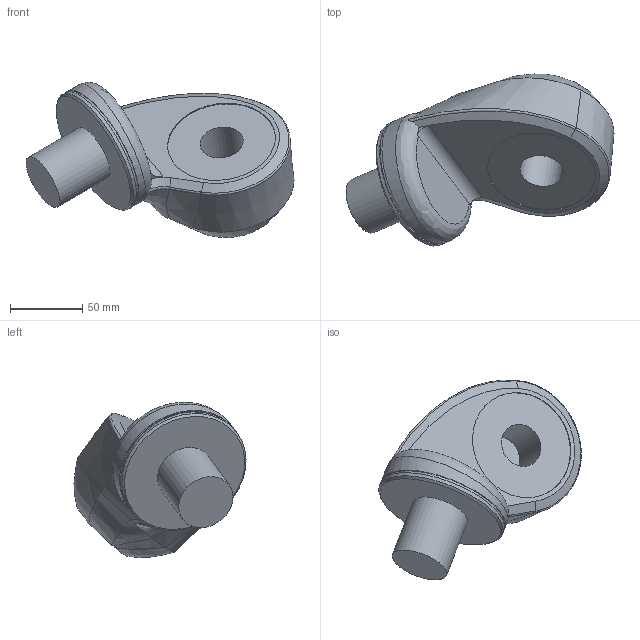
import cadquery as cq
import math

STUD_RISE = math.radians(30.0)
STUD_SWING = math.radians(22.8)
STUD_AXIS = cq.Vector(1, math.tan(STUD_SWING), math.tan(STUD_RISE))
BORE_AXIS = cq.Vector(-0.11, -0.704, 0.702)
EYE_ORIGIN = cq.Vector(42.6, -7.5, 12.1)

STUD_V = 40.9
STUD_W = 11.4
STUD_DIA = 40.0
STUD_LENGTH = 43.0
STUD_END_U = -121.9
FLANGE_FRONT_U = STUD_END_U + STUD_LENGTH
FLANGE_THICKNESS = 24.7
FLANGE_RADIUS = 45.8
FLANGE_ROUND = 10.0
FRONT_CHAMFER = 1.5
GROOVE_START = 4.0
GROOVE_WIDTH = 2.0
GROOVE_DEPTH = 0.8
BACK_TILT_ABOUT_W = 5.5
BACK_TILT_ABOUT_V = 2.5
BACK_FILLET = 7.5

BORE_DIA = 30.0
BORE_DEPTH = 35.0
RECESS_DIA = 75.0
RECESS_DEPTH = 0.7
RIM_W = -3.0
RIM_ROUND = 1.5
EDGE_W = -42.0
WAIST_W = (RIM_W + EDGE_W) / 2
BELLY_W = -56.8
DOME_DEPTH = 67.2
BURIED_U = -62.0
SHOULDER_ANGLE = 25


def on_circle(radius, angle):
    """Point at an angle in degrees on a circle about the bore axis."""
    return radius * math.cos(math.radians(angle)), radius * math.sin(math.radians(angle))


def eye_section(w, radius, top, shoulder_v, neck_angle, neck_length, bottom):
    """Pear-shaped wire at height w: the eye circle drawn out towards the flange.

    top and bottom are the corners of the narrow end, shoulder_v is where the long side
    passes u = 0, and the short side leaves the circle at neck_angle as a straight line.
    """
    far_angle = (SHOULDER_ANGLE + neck_angle - 360) / 2
    shoulder_end = on_circle(radius, SHOULDER_ANGLE)
    neck_start = on_circle(radius, neck_angle)
    neck_run = on_circle(neck_length, neck_angle - 90)
    neck_end = (neck_start[0] + neck_run[0], neck_start[1] + neck_run[1])
    return (
        cq.Workplane("XY", origin=(0, 0, w))
        .moveTo(*top)
        .spline(
            [(0, shoulder_v), shoulder_end],
            tangents=[(1, -0.1), on_circle(1, SHOULDER_ANGLE - 90)],
            includeCurrent=True,
        )
        .threePointArc(on_circle(radius, far_angle), neck_start)
        .lineTo(*neck_end)
        .tangentArcPoint(bottom, relative=False)
        .close()
        .val()
    )


def face_outline():
    return eye_section(RECESS_DEPTH, 40.5, (BURIED_U, 78.3), 56.8, 217, 24, (-66, 4))


def loft(sections, ruled):
    return cq.Workplane(cq.Solid.makeLoft(sections, ruled))


def level_edges(solid, w, u_from):
    """Edges lying at height w whose middle is beyond u_from, so the buried end is left out."""
    near = 0.01
    chosen = []
    for edge in solid.edges().vals():
        box = edge.BoundingBox()
        if abs(box.zmin - w) < near and abs(box.zmax - w) < near and edge.Center().x > u_from:
            chosen.append(edge)
    return chosen


def eye_and_arm():
    rim = eye_section(RIM_W, 47.5, (BURIED_U, 84.3), 64.8, 217, 23, (-66, -3))
    waist = eye_section(WAIST_W, 46.6, (-60, 71), 60, 211, 24, (-63, 10))
    edge = eye_section(EDGE_W, 45.8, (-47, 57), 53.5, 203, 20, (-48, 24))
    belly = eye_section(BELLY_W, 36.3, (-38, 45), 41.5, 190, 10, (-40, 16))
    base = eye_section(-DOME_DEPTH, 24.8, (-20, 26), 26, 180, 2, (-27, 5))
    crown = loft([face_outline(), rim], True)
    wall = loft([rim, waist, edge], False)
    dome = loft([edge, belly, base], False)
    eye = crown.union(wall).union(dome)
    return eye.newObject(level_edges(eye, RIM_W, BURIED_U)).fillet(RIM_ROUND)


def lean_back(solid):
    """Turn a solid from the stud axis direction to the lean of the flange back."""
    return (
        solid.rotate((0, 0, 0), (0, 1, 0), -BACK_TILT_ABOUT_V)
        .rotate((0, 0, 0), (0, 0, 1), -BACK_TILT_ABOUT_W)
        .translate((FLANGE_FRONT_U + FLANGE_THICKNESS, STUD_V, STUD_W))
    )


def stud_and_flange():
    front = FLANGE_FRONT_U
    groove = front + GROOVE_START
    groove_floor = FLANGE_RADIUS - GROOVE_DEPTH
    blank_end = front + 1.5 * FLANGE_THICKNESS
    profile = [
        (STUD_END_U, 0),
        (STUD_END_U, STUD_DIA / 2),
        (front, STUD_DIA / 2),
        (front, FLANGE_RADIUS - FRONT_CHAMFER),
        (front + FRONT_CHAMFER, FLANGE_RADIUS),
        (groove, FLANGE_RADIUS),
        (groove, groove_floor),
        (groove + GROOVE_WIDTH, groove_floor),
        (groove + GROOVE_WIDTH, FLANGE_RADIUS),
        (blank_end, FLANGE_RADIUS),
        (blank_end, 0),
    ]
    blank = (
        cq.Workplane("XY")
        .polyline(profile)
        .close()
        .revolve(360, (0, 0, 0), (1, 0, 0))
        .translate((0, STUD_V, STUD_W))
    )
    width = 4 * FLANGE_RADIUS
    trim = cq.Workplane("XY").box(FLANGE_RADIUS, width, width, centered=(False, True, True))
    return blank.cut(lean_back(trim)).faces(">X").edges().fillet(FLANGE_ROUND)


def back_fillet():
    """Concave bar along the corner between the flange back and the face of the arm."""
    corner = RECESS_DEPTH - STUD_W
    arc_mid = BACK_FILLET * (1 - math.sqrt(0.5))
    overlap = BACK_FILLET / 4
    bar = (
        cq.Workplane("XZ")
        .moveTo(-overlap, corner - overlap)
        .lineTo(BACK_FILLET, corner - overlap)
        .lineTo(BACK_FILLET, corner)
        .threePointArc((arc_mid, corner + arc_mid), (0, corner + BACK_FILLET))
        .lineTo(-overlap, corner + BACK_FILLET)
        .close()
        .extrude(FLANGE_RADIUS, both=True)
    )
    prism = cq.Workplane(
        cq.Solid.extrudeLinear(face_outline(), [], cq.Vector(0, 0, 2 * BACK_FILLET))
    ).translate((0, 0, -BACK_FILLET))
    within_flange = (
        cq.Workplane("YZ", origin=(FLANGE_FRONT_U, STUD_V, STUD_W))
        .circle(FLANGE_RADIUS - FLANGE_ROUND / 3)
        .extrude(STUD_LENGTH)
    )
    return lean_back(bar).intersect(prism).intersect(within_flange)


def recess_and_bore():
    recess = cq.Workplane("XY").circle(RECESS_DIA / 2).extrude(RECESS_DEPTH)
    bore = cq.Workplane("XY").circle(BORE_DIA / 2).extrude(-BORE_DEPTH)
    return recess.union(bore)


body = eye_and_arm().union(stud_and_flange()).union(back_fillet()).cut(recess_and_bore())
result = body.val().moved(cq.Location(cq.Plane(EYE_ORIGIN, STUD_AXIS, BORE_AXIS)))